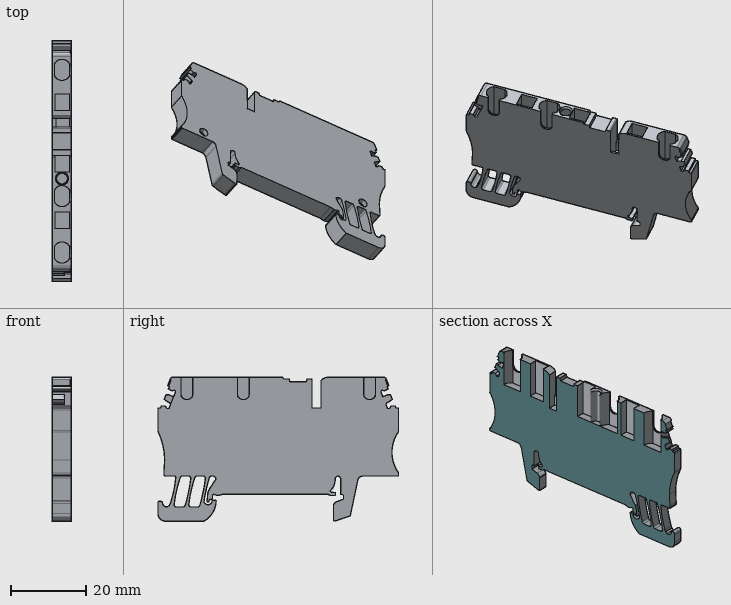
import cadquery as cq

thickness = 5.1
length = 64.05
height = 38.35

shoulder_z = 12.0
rail_seat_z = 7.15
seat_lip_z = 6.8
ledge_z = 30.12

slot_start = 20.7
slot_end = 23.0
step_z = height - 0.5
step_fillet = 0.35
recess_z = height - 1.25
slot_channel_x = (0.97, 4.6)
slot_channel_depth = 3.0

hole_x = 2.62
wire_hole_centers = (7.75, 41.3, length - 7.75)
wire_hole_length = 5.6
wire_hole_end_radius = 2.25
wire_hole_x = (0.6, 4.65)
wire_hole_depth = 10.0
wall_window_width = 3.2
wall_window_depth = 6.0

clamp_pocket_centers = (16.35, 32.72, length - 16.35)
clamp_pocket_length = 4.4
clamp_pocket_x = (0.77, 4.65)
clamp_pocket_depth = 10.0

test_hole_center = 36.64
test_hole_diameter = 2.85
test_hole_depth = 10.0
test_countersink_diameter = 3.45
test_countersink_depth = 0.6

socket_centers = (7.0, length - 7.0)
socket_z = 14.1
socket_diameter = 2.5
socket_depth = 1.5

tooth_thickness = 3.25
tooth_root_top = (4.2, 33.15)
tooth_root_bottom = (3.38, 31.1)
tooth_relief_inset = 1.5
tooth_relief_z = (32.2, 34.5)

spring_window_pitch = 3.88
spring_window_floor = 3.85
spring_window_fillet = 0.5

marker_edge = [
    (2.6, 36.05),
    (3.1, 35.85),
    (2.75, 35.2),
    (3.75, 34.65),
    (4.5, 34.85),
    (4.7, 34.4),
    tooth_root_top,
    (2.95, 33.65),
    (2.2, 33.65),
    (1.65, 32.4),
    (3.2, 31.4),
    tooth_root_bottom,
    (2.94, 30.0),
    (2.45, 30.0),
    (2.0, 30.7),
    (0.85, 30.7),
    (0.75, ledge_z),
    (0.12, ledge_z),
    (0.0, 29.65),
]
top_corner_inset = 4.2
top_corner_mid = (3.55, 38.15)
top_corner_end = (3.2, 37.65)
end_chamfer = 0.35


def side_plane(x=0.0):
    """Plane parallel to the side faces: local x is u, local y is height, normal is -X."""
    return cq.Workplane(cq.Plane(origin=(x, length / 2, 0), xDir=(0, -1, 0), normal=(-1, 0, 0)))


def top_plane(z=height):
    """Plane parallel to the top face: local x is X, local y is Y."""
    return cq.Workplane("XY", origin=(0, 0, z))


def y_at(u):
    """Y coordinate at the distance u from the +Y end."""
    return length / 2 - u


def box(x_range, u_range, z_range):
    """Rectangular block between the given limits."""
    size_x = x_range[1] - x_range[0]
    size_u = u_range[1] - u_range[0]
    size_z = z_range[1] - z_range[0]
    corner = (x_range[0], y_at(u_range[1]), z_range[0])
    return cq.Workplane("XY").box(size_x, size_u, size_z, centered=False).translate(corner)


def at_near_end(point):
    """Mirror a point of the +Y end profile to the -Y end."""
    return (length - point[0], point[1])


def trace(path, points):
    """Continue a path with straight lines through the points."""
    for point in points:
        path = path.lineTo(*point)
    return path


def trace_top(path):
    """Top edge from the +Y corner to the -Y corner, including the jumper slot."""
    path = path.lineTo(18.5, height)
    path = path.threePointArc((19.75, 38.12), (slot_start, 37.4))
    path = trace(path, [
        (slot_start, ledge_z),
        (slot_end, ledge_z),
        (slot_end, step_z - step_fillet),
    ])
    path = path.tangentArcPoint((slot_end + step_fillet, step_z), relative=False)
    return trace(path, [
        (24.35, step_z),
        (24.6, recess_z),
        (28.9, recess_z),
        (29.1, step_z),
        (30.5, step_z),
        (30.95, height),
        (length - top_corner_inset, height),
    ])


def trace_near_end(path):
    """The -Y end: marker edge, ledge and the hollow finger grip."""
    path = path.threePointArc(at_near_end(top_corner_mid), at_near_end(top_corner_end))
    path = trace(path, [at_near_end(point) for point in marker_edge])
    path = trace(path, [(length, 24.2), (63.95, 23.75)])
    path = path.threePointArc((62.72, 20.2), (62.25, 16.35))
    return trace(path, [(62.45, 12.9), (62.45, 12.3), (62.25, shoulder_z)])


def trace_spring_foot(path):
    """Movable foot carried on leaf springs, ending at the seat lip."""
    path = path.lineTo(59.6, shoulder_z)
    path = path.threePointArc((59.36, 11.86), (59.3, 11.57))
    path = path.threePointArc((59.85, 8.0), (60.7, 4.85))
    path = trace(path, [(60.95, 4.3), (61.4, 3.9)])
    path = path.threePointArc((62.2, 4.0), (62.75, 4.7))
    path = path.threePointArc((63.4, 5.4), (length, 4.7))
    path = path.lineTo(length, 2.1)
    path = path.threePointArc((63.43, 0.62), (61.95, 0))
    path = path.lineTo(51.8, 0)
    path = path.threePointArc((49.75, 1.8), (48.5, 5.4))
    path = trace(path, [(48.75, 5.65), (49.66, 5.65), (49.7, 5.0)])
    path = path.threePointArc((50.85, 4.45), (51.76, 5.1))
    path = path.threePointArc((51.3, 7.8), (50.4, 11.3))
    path = path.threePointArc((50.2, 11.8), (49.7, shoulder_z))
    path = path.lineTo(49.35, shoulder_z)
    path = path.threePointArc((48.75, 11.65), (48.75, 11.0))
    path = path.lineTo(50.4, 8.5)
    path = path.threePointArc((50.75, 7.6), (50.85, 6.6))
    return trace(path, [
        (51.0, 5.2),
        (50.4, 5.2),
        (50.4, 5.65),
        (49.5, 6.0),
        (49.45, 7.0),
        (49.2, rail_seat_z),
    ])


def trace_rail_seat(path):
    """Flat seat on the rail with a low lip at each side."""
    return trace(path, [
        (48.6, 6.95),
        (48.0, seat_lip_z),
        (46.86, rail_seat_z),
        (18.84, rail_seat_z),
        (18.07, seat_lip_z),
        (17.0, seat_lip_z),
        (16.8, 7.0),
        (16.8, 7.7),
        (17.95, 7.75),
        (18.2, 8.1),
    ])


def trace_fixed_foot(path):
    """Rigid hooked foot and the relief groove beside it."""
    path = path.threePointArc((17.25, 9.4), (16.86, 11.4))
    path = path.threePointArc((16.16, shoulder_z), (15.46, 11.4))
    path = trace(path, [(15.46, 7.1), (14.95, 7.1), (14.7, 6.9), (14.7, 5.9), (16.5, 5.25)])
    path = path.threePointArc((17.05, 4.85), (17.4, 4.2))
    path = trace(path, [(17.4, 0.25), (17.1, 0.05), (16.74, 0.1), (13.1, 1.35)])
    path = path.threePointArc((12.9, 1.45), (12.8, 1.7))
    path = path.lineTo(10.85, 10.9)
    return path.threePointArc((10.45, 11.65), (9.66, shoulder_z))


def trace_far_end(path):
    """The +Y end: finger grip, ledge and marker edge up to the top face."""
    path = trace(path, [(0.2, shoulder_z), (0, 12.2), (0, 12.8)])
    path = path.threePointArc((1.77, 18.2), (0, 23.9))
    path = trace(path, reversed(marker_edge))
    path = path.lineTo(*top_corner_end)
    return path.threePointArc(top_corner_mid, (top_corner_inset, height))


def make_housing():
    """Plate with the complete side outline."""
    path = side_plane().moveTo(top_corner_inset, height)
    path = trace_top(path)
    path = trace_near_end(path)
    path = trace_spring_foot(path)
    path = trace_rail_seat(path)
    path = trace_fixed_foot(path)
    path = trace_far_end(path)
    return path.close().extrude(-thickness)


def make_spring_windows():
    """Two curved-sided openings that separate the leaf springs."""
    window = (
        side_plane()
        .moveTo(51.35, shoulder_z)
        .lineTo(54.05, shoulder_z)
        .threePointArc((55.12, 8.3), (55.85, spring_window_floor))
        .lineTo(53.0, spring_window_floor)
        .threePointArc((51.95, 8.1), (51.35, shoulder_z))
        .close()
        .extrude(-thickness)
        .edges("|X")
        .fillet(spring_window_fillet)
    )
    return window.union(window.translate((0, -spring_window_pitch, 0)))


def make_wire_hole(center):
    """Oval hole with flattened sides and a window through the +X wall."""
    floor_z = height - wire_hole_depth
    oval = (
        top_plane(floor_z)
        .center(hole_x, y_at(center))
        .slot2D(wire_hole_length, 2 * wire_hole_end_radius, 90)
        .extrude(wire_hole_depth)
    )
    half_length = wire_hole_length / 2
    flats = box(wire_hole_x, (center - half_length, center + half_length), (floor_z, height))
    half_width = wall_window_width / 2
    arc_z = height - wall_window_depth + half_width
    window = (
        side_plane(hole_x)
        .moveTo(center - half_width, height)
        .lineTo(center - half_width, arc_z)
        .threePointArc((center, height - wall_window_depth), (center + half_width, arc_z))
        .lineTo(center + half_width, height)
        .close()
        .extrude(hole_x - thickness)
    )
    return oval.intersect(flats).union(window)


def make_clamp_pocket(center):
    """Rectangular pocket for the clamp release."""
    half_length = clamp_pocket_length / 2
    u_range = (center - half_length, center + half_length)
    return box(clamp_pocket_x, u_range, (height - clamp_pocket_depth, height))


def make_test_hole():
    """Round test hole with a shallow conical countersink."""
    place = top_plane().center(hole_x, y_at(test_hole_center))
    bore = place.circle(test_hole_diameter / 2).extrude(-test_hole_depth)
    countersink = (
        place.circle(test_countersink_diameter / 2)
        .workplane(offset=-test_countersink_depth)
        .circle(test_hole_diameter / 2)
        .loft()
    )
    return bore.union(countersink)


def make_slot_channel():
    """Narrower channel below the floor of the jumper slot."""
    return box(slot_channel_x, (slot_start, slot_end), (ledge_z - slot_channel_depth, ledge_z))


def make_tooth_relief():
    """Volume that shortens the -Y marker tooth, leaving a sloped floor."""
    outline = [
        tooth_root_top,
        (tooth_relief_inset, tooth_relief_z[1]),
        (tooth_relief_inset, tooth_relief_z[0]),
        tooth_root_bottom,
    ]
    relief = side_plane(tooth_thickness).polyline([at_near_end(point) for point in outline])
    return relief.close().extrude(tooth_thickness - thickness)


def make_end_chamfer():
    """Wedge that chamfers the +X edge of the sloped +Y end face."""
    low = cq.Vector(0, y_at(marker_edge[0][0]), marker_edge[0][1])
    high = cq.Vector(0, y_at(top_corner_end[0]), top_corner_end[1])
    slope = high - low
    edge_plane = cq.Plane(origin=(thickness, low.y, low.z), xDir=(1, 0, 0), normal=slope.toTuple())
    return (
        cq.Workplane(edge_plane)
        .polyline([(-end_chamfer, 0), (0, -end_chamfer), (end_chamfer, 0), (0, end_chamfer)])
        .close()
        .extrude(slope.Length)
    )


def make_sockets():
    """Blind round sockets in the -X face."""
    centers = [(u, socket_z) for u in socket_centers]
    return side_plane().pushPoints(centers).circle(socket_diameter / 2).extrude(-socket_depth)


result = make_housing()
result = result.cut(make_spring_windows())
for hole_center in wire_hole_centers:
    result = result.cut(make_wire_hole(hole_center))
for pocket_center in clamp_pocket_centers:
    result = result.cut(make_clamp_pocket(pocket_center))
result = result.cut(make_test_hole())
result = result.cut(make_slot_channel())
result = result.cut(make_tooth_relief())
result = result.cut(make_sockets())
far_end_chamfer = make_end_chamfer()
result = result.cut(far_end_chamfer).cut(far_end_chamfer.mirror("XZ"))